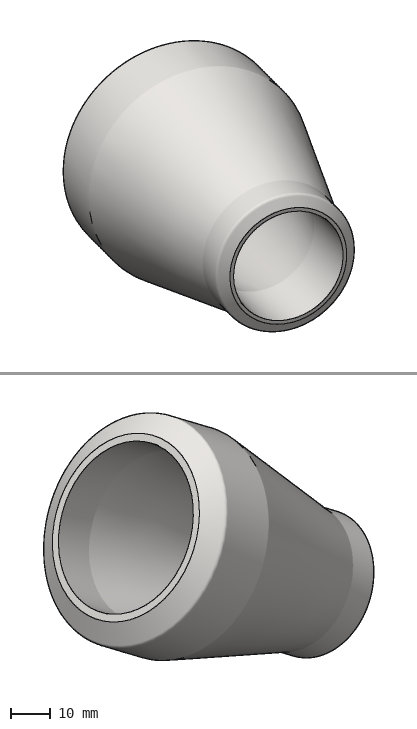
import cadquery as cq
import math

length = 76.0
large_diameter = 60.3
large_bore = 44.3
small_diameter = 38.0
small_bore = 30.0

large_collar = 20.0
small_collar = 10.0
large_bore_depth = 12.0
small_bore_depth = 18.0

large_land = 2.0
small_land = 1.0
bevel_angle = 30.0
corner_round = 1.0

large_radius = large_diameter / 2
large_bore_radius = large_bore / 2
small_radius = small_diameter / 2
small_bore_radius = small_bore / 2
cone_start = large_collar
cone_end = length - small_collar
bore_cone_start = large_bore_depth
bore_cone_end = length - small_bore_depth


def bevel_length(outer_radius, land_radius):
    """Axial length of a bevel from the end face to the outside."""
    return (outer_radius - land_radius) * math.tan(math.radians(bevel_angle))


def make_outside():
    """Solid outer shape: bevel, collar, cone, collar and bevel."""
    large_land_radius = large_bore_radius + large_land
    small_land_radius = small_bore_radius + small_land
    large_bevel_edge = bevel_length(large_radius, large_land_radius)
    small_bevel_edge = length - bevel_length(small_radius, small_land_radius)
    body = (
        cq.Workplane("XZ")
        .moveTo(0, 0)
        .lineTo(0, large_land_radius)
        .lineTo(large_bevel_edge, large_radius)
        .lineTo(cone_start, large_radius)
        .lineTo(cone_end, small_radius)
        .lineTo(small_bevel_edge, small_radius)
        .lineTo(length, small_land_radius)
        .lineTo(length, 0)
        .close()
        .revolve(360, (0, 0, 0), (1, 0, 0))
    )
    corner_edges = body.edges("%CIRCLE").edges("not (<X or >X)")
    return corner_edges.fillet(corner_round)


def make_bore():
    """Through bore: straight, tapered, then straight again."""
    return (
        cq.Workplane("XZ")
        .moveTo(0, 0)
        .lineTo(0, large_bore_radius)
        .lineTo(bore_cone_start, large_bore_radius)
        .lineTo(bore_cone_end, small_bore_radius)
        .lineTo(length, small_bore_radius)
        .lineTo(length, 0)
        .close()
        .revolve(360, (0, 0, 0), (1, 0, 0))
    )


result = make_outside().cut(make_bore())